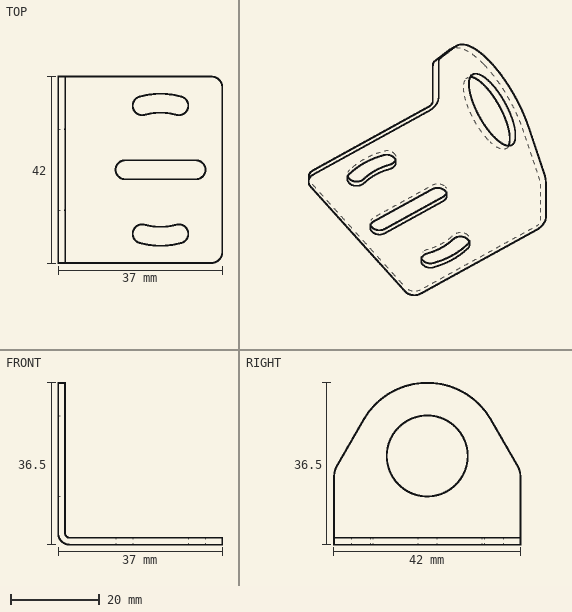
import cadquery as cq
import math

length = 37.0
width = 42.0
height = 36.5
thickness = 1.6
inner_bend_radius = 1.0
outer_bend_radius = inner_bend_radius + thickness

hole_diameter = 18.2
hole_height = 20.0
crown_radius = height - hole_height
flank_normal_angle = 30.0
shoulder_radius = 5.0

corner_radius = 2.5
slot_center_x = 23.05
slot_width = 4.2
straight_slot_length = 20.2
arc_slot_radius = 15.0
arc_slot_half_angle = 16.0


def bent_sheet():
    """L-shaped sheet with a rounded bend along the Y axis."""
    profile = (
        cq.Workplane("XZ")
        .polyline([
            (0, 0), (length, 0), (length, thickness),
            (thickness, thickness), (thickness, height), (0, height),
        ])
        .close()
        .extrude(width / 2, both=True)
    )
    profile = profile.edges(cq.selectors.NearestToPointSelector((0, 0, 0))).fillet(outer_bend_radius)
    inner_corner = cq.selectors.NearestToPointSelector((thickness, 0, thickness))
    return profile.edges(inner_corner).fillet(inner_bend_radius)


def upright_envelope():
    """Full-length prism with the crowned outline of the upright flange."""
    angle = math.radians(flank_normal_angle)
    half_width = width / 2
    tangent_y = crown_radius * math.cos(angle)
    tangent_z = hole_height + crown_radius * math.sin(angle)
    shoulder_z = tangent_z - (half_width - tangent_y) / math.tan(angle)
    prism = (
        cq.Workplane("YZ")
        .moveTo(-half_width, 0)
        .lineTo(half_width, 0)
        .lineTo(half_width, shoulder_z)
        .lineTo(tangent_y, tangent_z)
        .threePointArc((0, height), (-tangent_y, tangent_z))
        .lineTo(-half_width, shoulder_z)
        .close()
        .extrude(length)
    )
    for side in (-1, 1):
        shoulder = cq.selectors.NearestToPointSelector((length / 2, side * half_width, shoulder_z))
        prism = prism.edges(shoulder).fillet(shoulder_radius)
    return prism


def arc_slot(side):
    """Round-ended slot curved about the straight slot's center; side is +1 or -1 in Y."""
    angle = math.radians(arc_slot_half_angle)

    def point(radius, direction):
        return (
            slot_center_x + radius * math.sin(direction),
            side * radius * math.cos(direction),
        )

    inner_radius = arc_slot_radius - slot_width / 2
    outer_radius = arc_slot_radius + slot_width / 2
    end_reach = slot_width / 2

    def end_tip(sign):
        x, y = point(arc_slot_radius, sign * angle)
        return (
            x + sign * end_reach * math.cos(angle),
            y - side * end_reach * math.sin(angle),
        )

    return (
        cq.Workplane("XY")
        .moveTo(*point(outer_radius, -angle))
        .threePointArc(point(outer_radius, 0), point(outer_radius, angle))
        .threePointArc(end_tip(1), point(inner_radius, angle))
        .threePointArc(point(inner_radius, 0), point(inner_radius, -angle))
        .threePointArc(end_tip(-1), point(outer_radius, -angle))
        .close()
        .extrude(thickness)
    )


bracket = bent_sheet().intersect(upright_envelope())
bracket = bracket.edges("|Z and >X").fillet(corner_radius)

hole = (
    cq.Workplane("YZ")
    .center(0, hole_height)
    .circle(hole_diameter / 2)
    .extrude(thickness)
)
bracket = bracket.cut(hole)

straight_slot = (
    cq.Workplane("XY")
    .center(slot_center_x, 0)
    .slot2D(straight_slot_length, slot_width)
    .extrude(thickness)
)
bracket = bracket.cut(straight_slot)
for slot_side in (-1, 1):
    bracket = bracket.cut(arc_slot(slot_side))

result = bracket